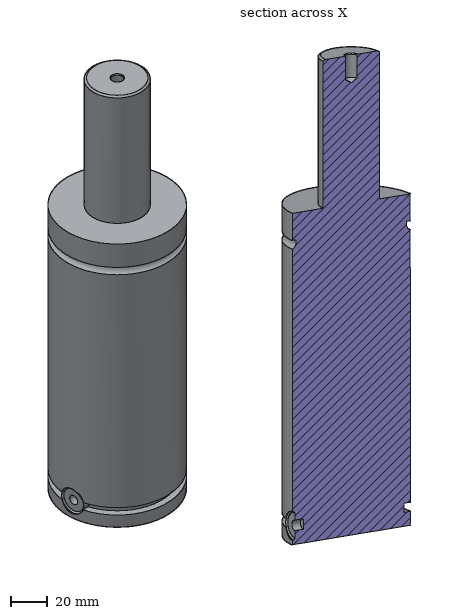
import cadquery as cq
import math

body_radius = 37.5
body_height = 186.5

base_groove_radius = 33.5
base_groove_bottom = 8.0
base_groove_top = 13.0

head_groove_bottom = 166.3
head_groove_top = 171.2
head_groove_deepest_z = 169.5
head_groove_min_radius = 35.0
head_groove_top_radius = 35.5

overall_height = 270.0
rod_radius = 36.0 / 2
rod_chamfer_width = 1.4
rod_chamfer_height = 0.8

rod_hole_diameter = 6.8
rod_hole_depth = 13.5
rod_hole_chamfer = 0.5
drill_point_angle = 118.0

port_z = 10.8
port_outer_radius = 16.0 / 2
port_inner_radius = 14.0 / 2
port_recess_depth = 0.8
port_hole_diameter = 5.7
port_hole_depth = 5.5
port_face_y = -math.sqrt(body_radius**2 - port_outer_radius**2)


def make_body_and_rod():
    """Revolve the half profile of the body and the rod about Z."""
    profile = (
        cq.Workplane("XZ")
        .moveTo(0, 0)
        .lineTo(body_radius, 0)
        .lineTo(body_radius, base_groove_bottom)
        .lineTo(base_groove_radius, base_groove_bottom)
        .lineTo(base_groove_radius, base_groove_top)
        .lineTo(body_radius, base_groove_top)
        .lineTo(body_radius, head_groove_bottom)
        .threePointArc(
            (head_groove_min_radius, head_groove_deepest_z),
            (head_groove_top_radius, head_groove_top),
        )
        .lineTo(body_radius, head_groove_top)
        .lineTo(body_radius, body_height)
        .lineTo(rod_radius, body_height)
        .lineTo(rod_radius, overall_height - rod_chamfer_height)
        .lineTo(rod_radius - rod_chamfer_width, overall_height)
        .lineTo(0, overall_height)
        .close()
    )
    return profile.revolve(360, (0, 0, 0), (0, 1, 0))


def make_rod_hole():
    """Chamfered hole with a conical bottom, cut down from the rod end."""
    radius = rod_hole_diameter / 2
    point_length = radius / math.tan(math.radians(drill_point_angle / 2))
    straight_bottom = overall_height - rod_hole_depth
    profile = (
        cq.Workplane("XZ")
        .moveTo(0, overall_height)
        .lineTo(radius + rod_hole_chamfer, overall_height)
        .lineTo(radius, overall_height - rod_hole_chamfer)
        .lineTo(radius, straight_bottom)
        .lineTo(0, straight_bottom - point_length)
        .close()
    )
    return profile.revolve(360, (0, 0, 0), (0, 1, 0))


def port_cylinder(radius, start_y, length):
    """Cylinder on the port axis, running inward (+Y) from start_y."""
    start = cq.Vector(0, start_y, port_z)
    return cq.Workplane(obj=cq.Solid.makeCylinder(radius, length, start, cq.Vector(0, 1, 0)))


def add_port(part):
    """Fill the groove with a round boss, spot-face it, then cut its dished face and hole."""
    boss = port_cylinder(port_outer_radius, port_face_y, body_radius / 2)
    spot_face = port_cylinder(port_outer_radius, -body_radius, body_radius + port_face_y)
    dish = cq.Workplane(
        obj=cq.Solid.makeCone(
            port_outer_radius,
            port_inner_radius,
            port_recess_depth,
            cq.Vector(0, port_face_y, port_z),
            cq.Vector(0, 1, 0),
        )
    )
    hole_start = port_face_y + port_recess_depth
    hole = port_cylinder(port_hole_diameter / 2, hole_start, port_hole_depth)
    return part.union(boss).cut(spot_face).cut(dish).cut(hole)


result = add_port(make_body_and_rod().cut(make_rod_hole()))